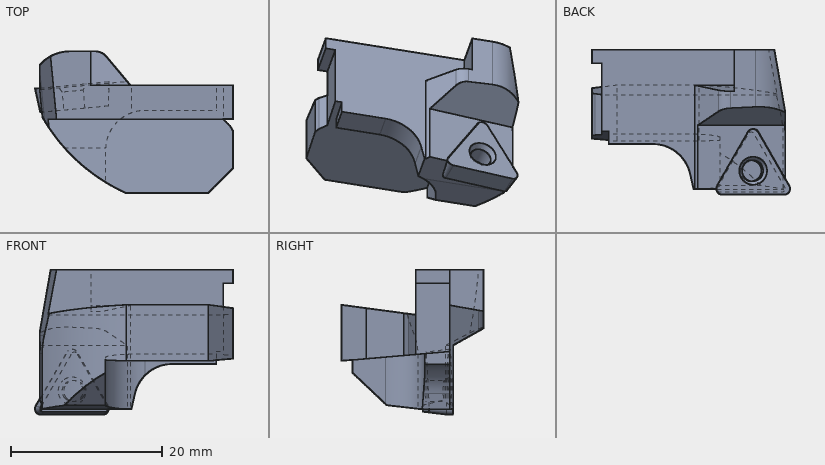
import cadquery as cq
import math


LENGTH = 25.6
TOP_Z = 19.2
FRONT_Y = -9.8
RAIL_BACK_Y = 4.5
HEAD_BACK_Y = 9.0
OVERSIZE = 40.0

RAIL_LIP_Z = 17.4
WEB_END_X = 24.3
HEAD_END_X = 6.75
HEAD_CORNER_RADIUS = 5.3
HEAD_ARC_END_X = 4.0
BRACE_CORNER_X = 8.25
BRACE_CORNER_RADIUS = 2.0
BRACE_END_X = 12.0
BRACE_LEDGE_Z = 14.5
BRACE_LEDGE_ANGLE = 10.0

SWEEP_END_X = 11.45
SWEEP_MIDDLE = (5.38, -5.9)
SWEEP_START = (0.32, 0.33)
FRONT_CHAMFER = 3.3
NICK_START_Y = -1.55
NICK_BEND = (25.25, -0.95)
SEAT_Z = 13.25
SEAT_ANGLE = 7.6
BLOCK_BOTTOM_FRONT_Z = 7.12
BLOCK_BOTTOM_ANGLE = 5.0

FOOT_FRONT_Y = -8.4
FOOT_STEP_Z = 5.6
FOOT_CHAMFER_BASE = (-3.8, 1.25)
FOOT_BOTTOM_ANGLE = 6.6
FOOT_BOTTOM_Z = 0.74
FOOT_END_X = 23.4
FOOT_FLAT_Z = 6.7
FOOT_ARC_CENTRE_X = 17.5
FOOT_ARC_RADIUS = 5.0
FOOT_END_LEAN = 13.0
RECESS_START_X = 8.7
RECESS_RADIUS = 5.2
RECESS_WALL_Y = 1.2

EDGE_TURN = 5.4
EDGE_ORIGIN_Y = 3.93
WALL_LEAN = 10.6
WALL_BEND_START_Z = 8.15
WALL_BEND_END_Z = 10.5
BLADE_TOP_Z = 9.2
HEAD_UNDERSIDE_ANGLE = 27.5

INSCRIBED_RADIUS = 6.35 / 2
NOSE_RADIUS = 0.8
NOSE_ANGLES = (210, 330, 450)
NOSE_HALF_ARC = 60
INSERT_THICKNESS = 3.18
CLEARANCE_ANGLE = 7.0
INSERT_OVERHANG = 0.62
RAKE_PROUD = 0.2
HOLE_DIAMETER = 2.8
COUNTERSINK_DIAMETER = 3.7
COUNTERSINK_ANGLE = 60.0


def tan(degrees):
    return math.tan(math.radians(degrees))


def sin(degrees):
    return math.sin(math.radians(degrees))


def cos(degrees):
    return math.cos(math.radians(degrees))


def along_x(points):
    """Prism with a Y-Z outline that runs through the whole length."""
    return cq.Workplane("YZ").polyline(points).close().extrude(2 * OVERSIZE, both=True)


def turned(shape):
    """Move a shape from the frame of the cutting edge to the holder."""
    return shape.rotate((0, 0, 0), (0, 0, 1), EDGE_TURN).translate((0, EDGE_ORIGIN_Y, 0))


def front_block():
    return (
        cq.Workplane("XY")
        .moveTo(*SWEEP_START)
        .threePointArc(SWEEP_MIDDLE, (SWEEP_END_X, FRONT_Y))
        .lineTo(LENGTH - FRONT_CHAMFER, FRONT_Y)
        .lineTo(LENGTH, FRONT_Y + FRONT_CHAMFER)
        .lineTo(LENGTH, NICK_START_Y)
        .lineTo(*NICK_BEND)
        .lineTo(WEB_END_X, 0)
        .close()
        .extrude(TOP_Z)
    )


def rail_and_head():
    arc_centre_y = HEAD_BACK_Y - HEAD_CORNER_RADIUS
    arc_middle = (
        HEAD_ARC_END_X - HEAD_CORNER_RADIUS * sin(45),
        arc_centre_y + HEAD_CORNER_RADIUS * cos(45),
    )
    head_start_x = HEAD_ARC_END_X - HEAD_CORNER_RADIUS
    blank = (
        cq.Workplane("XY")
        .moveTo(*SWEEP_START)
        .lineTo(head_start_x, SWEEP_START[1])
        .lineTo(head_start_x, arc_centre_y)
        .threePointArc(arc_middle, (HEAD_ARC_END_X, HEAD_BACK_Y))
        .lineTo(BRACE_CORNER_X, HEAD_BACK_Y)
        .lineTo(BRACE_END_X, RAIL_BACK_Y)
        .lineTo(LENGTH, RAIL_BACK_Y)
        .lineTo(LENGTH, 0)
        .lineTo(SWEEP_END_X, 0)
        .close()
        .extrude(TOP_Z)
    )
    brace_corner = cq.NearestToPointSelector((BRACE_CORNER_X, HEAD_BACK_Y, TOP_Z / 2))
    return blank.edges("|Z").edges(brace_corner).fillet(BRACE_CORNER_RADIUS)


def seat_cut():
    """Space above the sloping seat, in front of the rail."""
    seat_rise = OVERSIZE * tan(SEAT_ANGLE)
    return along_x(
        [(0, SEAT_Z), (-OVERSIZE, SEAT_Z + seat_rise), (-OVERSIZE, OVERSIZE), (0, OVERSIZE)]
    )


def brace_ledge_cut():
    """Space above the sloping brace, behind the rail and beside the head."""
    ledge_drop = OVERSIZE * tan(BRACE_LEDGE_ANGLE)
    far_y = RAIL_BACK_Y + OVERSIZE
    return (
        cq.Workplane("YZ", origin=(HEAD_END_X, 0, 0))
        .moveTo(RAIL_BACK_Y, BRACE_LEDGE_Z)
        .lineTo(far_y, BRACE_LEDGE_Z - ledge_drop)
        .lineTo(far_y, OVERSIZE)
        .lineTo(RAIL_BACK_Y, OVERSIZE)
        .close()
        .extrude(OVERSIZE)
    )


def rail_lip_cut():
    """Space under the lip at the far end of the rail."""
    corner = cq.Workplane("XY", origin=(WEB_END_X, 0, 0))
    return corner.box(OVERSIZE, OVERSIZE, RAIL_LIP_Z, centered=False)


def block_bottom_z(y):
    return BLOCK_BOTTOM_FRONT_Z + (y - FRONT_Y) * tan(BLOCK_BOTTOM_ANGLE)


def foot_front_cut():
    """Space in front of and below the foot: block underside, step, chamfer and sloping bottom."""
    base_y, base_z = FOOT_CHAMFER_BASE
    slope_end_y = base_y + (base_z - FOOT_BOTTOM_Z) / tan(FOOT_BOTTOM_ANGLE)
    return along_x(
        [
            (-OVERSIZE, block_bottom_z(-OVERSIZE)),
            (FOOT_FRONT_Y, block_bottom_z(FOOT_FRONT_Y)),
            (FOOT_FRONT_Y, FOOT_STEP_Z),
            (base_y, base_z),
            (slope_end_y, FOOT_BOTTOM_Z),
            (OVERSIZE, FOOT_BOTTOM_Z),
            (OVERSIZE, -OVERSIZE),
            (-OVERSIZE, -OVERSIZE),
        ]
    )


def foot_recess_cut():
    """Space under the block beside the foot, with a rounded inner corner, and beyond the foot."""
    centre_x = RECESS_START_X + RECESS_RADIUS
    centre_y = RECESS_WALL_Y - RECESS_RADIUS
    arc_middle = (centre_x - RECESS_RADIUS * cos(45), centre_y + RECESS_RADIUS * sin(45))
    plan = (
        cq.Workplane("XY")
        .moveTo(RECESS_START_X, -OVERSIZE)
        .lineTo(RECESS_START_X, centre_y)
        .threePointArc(arc_middle, (centre_x, RECESS_WALL_Y))
        .lineTo(FOOT_END_X, RECESS_WALL_Y)
        .lineTo(FOOT_END_X, OVERSIZE)
        .lineTo(OVERSIZE, OVERSIZE)
        .lineTo(OVERSIZE, -OVERSIZE)
        .close()
        .extrude(OVERSIZE)
    )
    below_block = along_x(
        [
            (-OVERSIZE, block_bottom_z(-OVERSIZE)),
            (OVERSIZE, block_bottom_z(OVERSIZE)),
            (OVERSIZE, -OVERSIZE),
            (-OVERSIZE, -OVERSIZE),
        ]
    )
    return plan.intersect(below_block)


def foot_end_cut():
    """Space below the shank: leaning end of the foot, arc and flat."""
    centre_z = FOOT_FLAT_Z - FOOT_ARC_RADIUS

    def arc_point(angle):
        return (
            FOOT_ARC_CENTRE_X - FOOT_ARC_RADIUS * cos(angle),
            centre_z + FOOT_ARC_RADIUS * sin(angle),
        )

    lean_start = arc_point(FOOT_END_LEAN)
    return (
        cq.Workplane("XZ")
        .moveTo(lean_start[0] - OVERSIZE * tan(FOOT_END_LEAN), lean_start[1] - OVERSIZE)
        .lineTo(*lean_start)
        .threePointArc(arc_point(45), (FOOT_ARC_CENTRE_X, FOOT_FLAT_Z))
        .lineTo(OVERSIZE, FOOT_FLAT_Z)
        .lineTo(OVERSIZE, lean_start[1] - OVERSIZE)
        .close()
        .extrude(OVERSIZE, both=True)
    )


def end_wall_cut():
    """Space outside the end wall: upright below, leaning inwards above, with a rounded bend."""
    bend_height = WALL_BEND_END_Z - WALL_BEND_START_Z
    bend_radius = bend_height / sin(WALL_LEAN)

    def bend_point(angle):
        return (bend_radius * (1 - cos(angle)), WALL_BEND_START_Z + bend_radius * sin(angle))

    bend_end = bend_point(WALL_LEAN)
    cut = (
        cq.Workplane("XZ")
        .moveTo(0, -OVERSIZE)
        .lineTo(0, WALL_BEND_START_Z)
        .threePointArc(bend_point(WALL_LEAN / 2), bend_end)
        .lineTo(bend_end[0] + OVERSIZE * tan(WALL_LEAN), bend_end[1] + OVERSIZE)
        .lineTo(-OVERSIZE, bend_end[1] + OVERSIZE)
        .lineTo(-OVERSIZE, -OVERSIZE)
        .close()
        .extrude(OVERSIZE, both=True)
    )
    return turned(cut)


def blade_back_cut():
    """Space behind the blade and under the sloping head."""
    cut = along_x(
        [
            (0, -OVERSIZE),
            (0, BLADE_TOP_Z),
            (OVERSIZE, BLADE_TOP_Z + OVERSIZE * tan(HEAD_UNDERSIDE_ANGLE)),
            (OVERSIZE, -OVERSIZE),
        ]
    )
    return turned(cut)


NOSE_CENTRE_DISTANCE = 2 * (INSCRIBED_RADIUS - NOSE_RADIUS)
INSERT_CENTRE_X = NOSE_CENTRE_DISTANCE * cos(30) + NOSE_RADIUS - INSERT_OVERHANG


def insert_rake_plane():
    return cq.Workplane("XZ", origin=(INSERT_CENTRE_X, RAKE_PROUD, INSCRIBED_RADIUS))


def rounded_triangle(workplane, shrink):
    """Triangle standing on one side, with round noses, drawn inwards by a given amount."""
    nose_radius = NOSE_RADIUS - shrink
    outline = workplane
    for nose_angle in NOSE_ANGLES:
        centre_x = NOSE_CENTRE_DISTANCE * cos(nose_angle)
        centre_z = NOSE_CENTRE_DISTANCE * sin(nose_angle)
        start, middle, end = [
            (centre_x + nose_radius * cos(angle), centre_z + nose_radius * sin(angle))
            for angle in (nose_angle - NOSE_HALF_ARC, nose_angle, nose_angle + NOSE_HALF_ARC)
        ]
        outline = outline.moveTo(*start) if nose_angle == NOSE_ANGLES[0] else outline.lineTo(*start)
        outline = outline.threePointArc(middle, end)
    return outline.close()


def insert_blank():
    """Insert without its hole; it tapers away from its rake face."""
    back = rounded_triangle(insert_rake_plane(), 0).workplane(offset=INSERT_THICKNESS)
    return rounded_triangle(back, INSERT_THICKNESS * tan(CLEARANCE_ANGLE)).loft(ruled=True)


def insert_hole():
    depth = (COUNTERSINK_DIAMETER - HOLE_DIAMETER) / 2 / tan(COUNTERSINK_ANGLE / 2)
    bore = insert_rake_plane().circle(HOLE_DIAMETER / 2).extrude(INSERT_THICKNESS)
    countersink = (
        insert_rake_plane()
        .circle(COUNTERSINK_DIAMETER / 2)
        .workplane(offset=depth)
        .circle(HOLE_DIAMETER / 2)
        .loft(ruled=True)
    )
    return bore.union(countersink)


holder = front_block().union(rail_and_head())
for cut in [
    seat_cut(),
    brace_ledge_cut(),
    rail_lip_cut(),
    foot_front_cut(),
    foot_recess_cut(),
    foot_end_cut(),
    end_wall_cut(),
    blade_back_cut(),
]:
    holder = holder.cut(cut)

holder = holder.cut(turned(insert_blank()))
insert = turned(insert_blank().cut(insert_hole()))

result = cq.Compound.makeCompound([holder.val(), insert.val()])